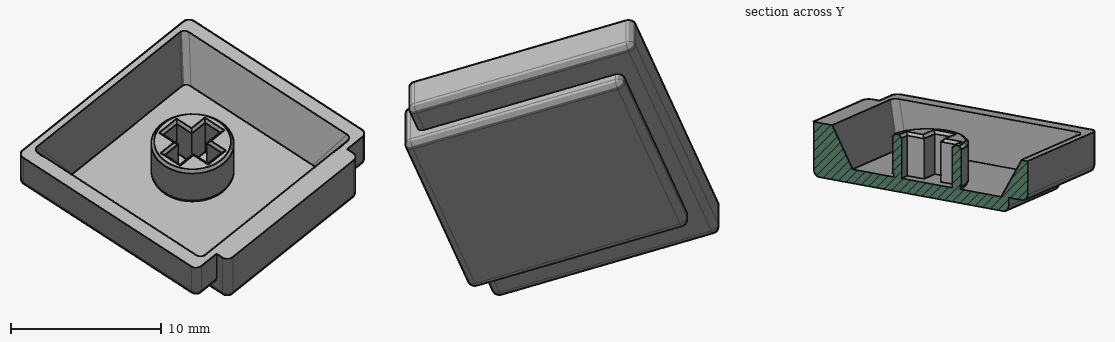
import cadquery as cq

length = 17.0
width = 17.0
height = 4.0
edge_radius = 0.5

tray_length = 16.0
tray_bottom = 1.0
rim_height = 3.8

slab_length = 15.5
slab_width = 13.0

pocket_side = 15.0
pocket_slope = 30.0
pocket_corner_radius = 0.5
floor_height = tray_bottom

hub_diameter = 5.5
hub_edge = 0.2
neck_diameter = 5.3
neck_height = 0.2
socket_span = 4.0
socket_arm_width = 1.35
socket_edge = 0.2
socket_edge_slope = 45.0

center_x = tray_length / 2
center_y = width / 2


def rounded_block(x_start, x_end, y_size, z_bottom):
    """Block up to the rim with rounded upright corners and a rounded bottom edge."""
    x_size = x_end - x_start
    return (
        cq.Workplane("XY", origin=((x_start + x_end) / 2, center_y, z_bottom))
        .rect(x_size, y_size)
        .extrude(rim_height - z_bottom)
        .edges("|Z or <Z")
        .fillet(edge_radius)
    )


def pocket():
    """Tapered square pocket with rounded corners between its sloping walls."""
    return (
        cq.Workplane("XY", origin=(center_x, center_y, rim_height))
        .rect(pocket_side, pocket_side)
        .extrude(-(rim_height - floor_height), taper=pocket_slope)
        .edges("not #Z")
        .fillet(pocket_corner_radius)
    )


def hub():
    """Round post with a chamfered top edge, standing on its neck."""
    return (
        cq.Workplane("XY", origin=(center_x, center_y, floor_height))
        .circle(neck_diameter / 2)
        .extrude(neck_height)
        .faces(">Z")
        .workplane()
        .circle(hub_diameter / 2)
        .extrude(height - floor_height - neck_height)
        .faces(">Z")
        .chamfer(hub_edge)
    )


def cross(span, arm_width, z_bottom, taper=0):
    """Cross-shaped tool from z_bottom up to the hub top, narrowing downward."""
    top = cq.Workplane("XY", origin=(center_x, center_y, height))
    depth = height - z_bottom
    along_x = top.rect(span, arm_width).extrude(-depth, taper=taper)
    along_y = top.rect(arm_width, span).extrude(-depth, taper=taper)
    return along_x.union(along_y)


def socket():
    """Cross socket down to the pocket floor, with a chamfered mouth."""
    mouth_span = socket_span + 2 * socket_edge
    mouth_arm_width = socket_arm_width + 2 * socket_edge
    mouth = cross(mouth_span, mouth_arm_width, height - socket_edge, socket_edge_slope)
    return cross(socket_span, socket_arm_width, floor_height).union(mouth)


tray = rounded_block(0, tray_length, width, tray_bottom)
slab = rounded_block(length - slab_length, length, slab_width, 0)
result = tray.union(slab).cut(pocket()).union(hub()).cut(socket())